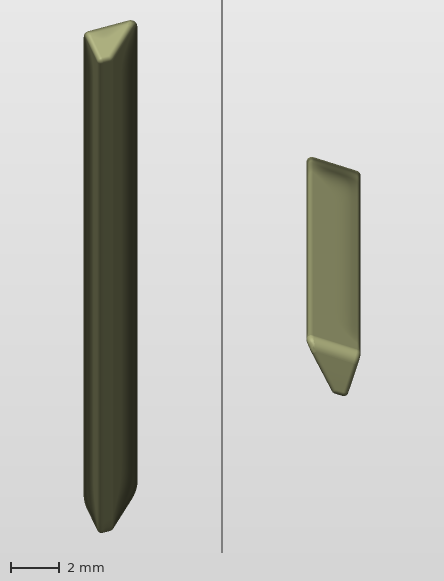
import cadquery as cq
import math

width = 2.0
depth = 2.31
length = 29.3

small_radius = 0.2
large_radius = 0.5

slope_angle = math.radians(45)

tip_tangent_length = small_radius / math.tan(slope_angle / 2)
sharp_tip_y = depth - small_radius + tip_tangent_length
short_side = sharp_tip_y - width / math.tan(slope_angle)


def make_sharp_bar():
    """Extrude the four-sided section along Z, centred on mid-length."""
    section = [(0, 0), (width, 0), (width, short_side), (0, sharp_tip_y)]
    return cq.Workplane("XY").polyline(section).close().extrude(length / 2, both=True)


def round_back_ends(bar):
    """Round both ends of the -X face with the large radius."""
    return bar.faces("<X").edges("|Y").fillet(large_radius)


def round_outlines(bar):
    """Round the outlines of the -Y, +X and sloping faces, which covers every edge that is still sharp."""
    slope_direction = cq.Vector(math.cos(slope_angle), math.sin(slope_angle), 0)
    slope_face = cq.selectors.DirectionNthSelector(slope_direction, -1)
    outlines = bar.faces("<Y").edges()
    outlines = outlines.add(bar.faces(">X").edges())
    outlines = outlines.add(bar.faces(slope_face).edges())
    return outlines.fillet(small_radius)


result = round_outlines(round_back_ends(make_sharp_bar()))